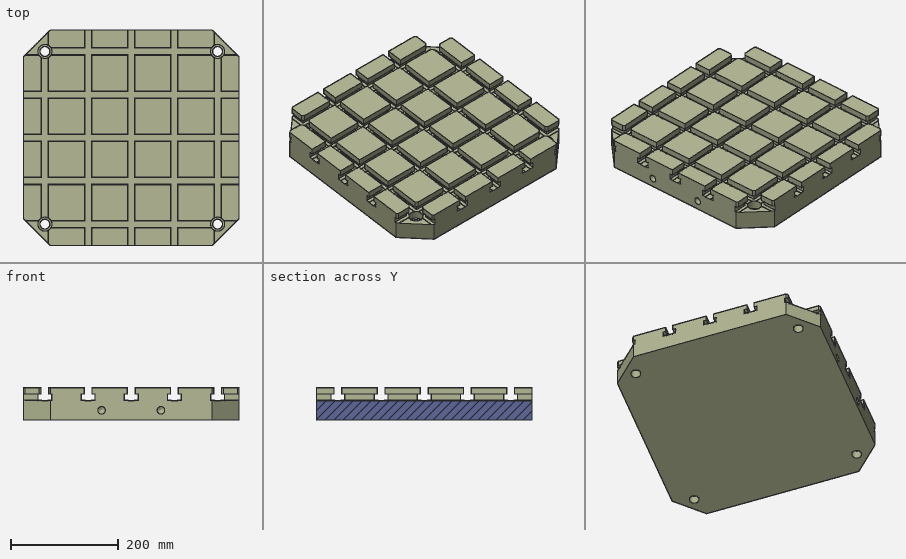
import cadquery as cq
import math

side = 400.0
height = 60.0
corner_chamfer = 50.0

slot_pitch = 80.0
slots_each_way = 5
neck_width = 14.0
neck_depth = 12.0
head_width = 25.0
slot_depth = 23.0

groove_width = 12.0
groove_depth = 1.0

bolt_diameter = 18.0
counterbore_diameter = 26.0
counterbore_depth = 16.0

drill_diameter = 14.0
drill_spacing = 110.0
drill_height = 18.0
drill_depth = 24.0
drill_tip_angle = 118.0

half_side = side / 2
slot_floor = height - slot_depth
groove_floor = slot_floor - groove_depth
outer_slot = slot_pitch * (slots_each_way - 1) / 2


def make_plate():
    plate = cq.Workplane("XY").box(side, side, height, centered=(True, True, False))
    return plate.edges("|Z").chamfer(corner_chamfer)


def make_bar(x, width, bottom, top):
    """Straight bar running the full length along Y, centred on the given x."""
    return (
        cq.Workplane("XY", origin=(x, 0, bottom))
        .box(width, side, top - bottom, centered=(True, True, False))
    )


def make_slot(x):
    """T-slot along Y: neck, wider head below it and the groove in its floor."""
    neck = make_bar(x, neck_width, slot_floor, height)
    head = make_bar(x, head_width, slot_floor, height - neck_depth)
    groove = make_bar(x, groove_width, groove_floor, slot_floor)
    return neck.union(head).union(groove)


def make_corner_relief(x_sign, y_sign):
    """Clears the corner outside the outermost slots down to the groove floor."""
    size = half_side - outer_slot
    centre = outer_slot + size / 2
    return (
        cq.Workplane("XY", origin=(x_sign * centre, y_sign * centre, groove_floor))
        .box(size, size, height - groove_floor, centered=(True, True, False))
    )


def make_mounting_hole(x, y):
    bore_floor = groove_floor - counterbore_depth
    bolt_hole = cq.Workplane("XY", origin=(x, y, 0)).circle(bolt_diameter / 2).extrude(height)
    counterbore = (
        cq.Workplane("XY", origin=(x, y, bore_floor))
        .circle(counterbore_diameter / 2)
        .extrude(height - bore_floor)
    )
    return bolt_hole.union(counterbore)


def make_drilled_hole(x):
    """Blind hole with a conical drill tip, going in from the -Y side."""
    radius = drill_diameter / 2
    tip_length = radius / math.tan(math.radians(drill_tip_angle / 2))
    return (
        cq.Workplane("XY", origin=(x, -half_side, drill_height))
        .moveTo(0, 0)
        .lineTo(radius, 0)
        .lineTo(radius, drill_depth)
        .lineTo(0, drill_depth + tip_length)
        .close()
        .revolve(360, (0, 0, 0), (0, 1, 0))
    )


result = make_plate()

for i in range(slots_each_way):
    slot = make_slot(i * slot_pitch - outer_slot)
    result = result.cut(slot)
    result = result.cut(slot.rotate((0, 0, 0), (0, 0, 1), 90))

for x_sign in (-1, 1):
    for y_sign in (-1, 1):
        result = result.cut(make_corner_relief(x_sign, y_sign))
        result = result.cut(make_mounting_hole(x_sign * outer_slot, y_sign * outer_slot))
    result = result.cut(make_drilled_hole(x_sign * drill_spacing / 2))